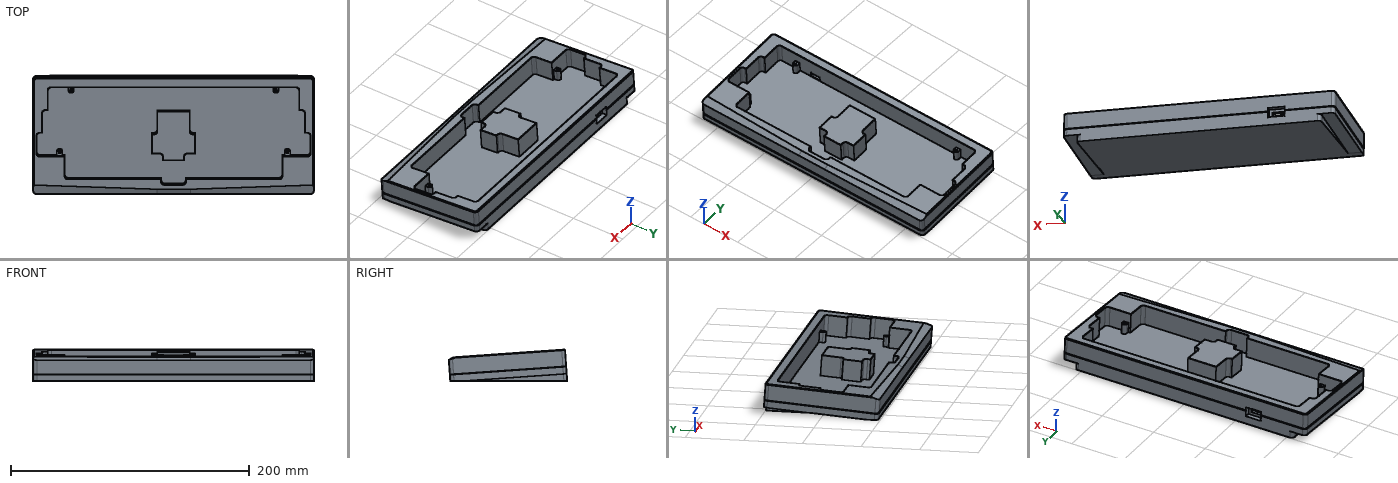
import cadquery as cq
import math

case_width = 235.5
case_depth = 98.0
rim_height = 19.8
tilt_angle = 4
corner_radius = 3.0
rim_chamfer_drop = 0.7
rim_chamfer_run = 1.0

body_bottom = -0.7
foot_width = 212
foot_allowance = 11.8

bevel_drop = 2.1
bevel_run_side = 7.8
bevel_run_middle = 4.2
bevel_middle_width = 27.8

seam_height = 5.2
seam_width = 0.5
seam_depth = 0.5

floor_height = 2.0
inside_radius = 2.8
edge_chamfer = 0.2
row_pitch = 19.0
pocket_back = 89.8
pocket_half_width = 105.3
row_stagger = 4.7
ledge_y = 31.8
front_row_half_width = 91.2
front_row_y = 12.7
tab_half_width = 10.4
tab_y = 8.0
island_back = 69.5
island_back_half_width = 13.7
island_half_width = 18.1
island_front_y = 34.2
island_nose_half_width = 9.0
island_nose_y = 28.5

post_radius = 2.4
post_height = 9.0
post_wall_gap = 2.8
post_hole_diameter = 1.7
post_hole_depth = 7.0
back_post_x = 85.8
front_post_x = 95.5

port_x = -67.1
port_width = 9.5
port_height = 3.3
port_bottom = 2.8
plug_margin = 2.5
plug_recess_depth = 4.7


def toward(start, end, distance):
    """Point at a distance from start on the way to end."""
    share = distance / math.dist(start, end)
    return (start[0] + share * (end[0] - start[0]), start[1] + share * (end[1] - start[1]))


def symmetric_prism(right_half, bottom, top, round_outer):
    """Prism on an outline mirrored about X = 0; right_half runs from front to back.

    Either the outer or the re-entrant corners are rounded.
    """
    left_half = [(-x, y) for x, y in reversed(right_half)]
    points = right_half + left_half
    outline = cq.Workplane("XY").workplane(offset=bottom)
    for index, corner in enumerate(points):
        before = points[index - 1]
        after = points[(index + 1) % len(points)]
        arriving = (corner[0] - before[0], corner[1] - before[1])
        leaving = (after[0] - corner[0], after[1] - corner[1])
        is_outer = arriving[0] * leaving[1] > arriving[1] * leaving[0]
        is_rounded = is_outer == round_outer
        arc_start = toward(corner, before, inside_radius) if is_rounded else corner
        outline = outline.moveTo(*arc_start) if index == 0 else outline.lineTo(*arc_start)
        if is_rounded:
            arc_end = toward(corner, after, inside_radius)
            center = (arc_start[0] + arc_end[0] - corner[0], arc_start[1] + arc_end[1] - corner[1])
            outline = outline.threePointArc(toward(center, corner, inside_radius), arc_end)
    return outline.close().extrude(top - bottom)


def rounded_slab(width, depth, bottom, top, radius):
    """Upright-cornered slab centered on the case."""
    slab = cq.Workplane("XY").box(width, depth, top - bottom).edges("|Z").fillet(radius)
    return slab.translate((0, case_depth / 2, (bottom + top) / 2))


def bevel_section(x, run):
    """Triangle removed from the front rim edge at one X position."""
    plane = cq.Plane(origin=(x, 0, rim_height), xDir=(0, 1, 0), normal=(1, 0, 0))
    return cq.Workplane(plane).polyline([(0, -bevel_drop), (run, 0), (0, 0)]).close()


def front_bevel():
    half_middle = bevel_middle_width / 2
    half_width = case_width / 2
    bevel = bevel_section(-half_middle, bevel_run_middle).extrude(bevel_middle_width)
    wires = [
        bevel_section(half_middle, bevel_run_middle).val(),
        bevel_section(half_width, bevel_run_side).val(),
    ]
    side = cq.Workplane(cq.Solid.makeLoft(wires, True))
    return bevel.union(side).union(side.mirror("YZ"))


def seam_groove():
    top = seam_height + seam_width
    inner_width = case_width - 2 * seam_depth
    inner_depth = case_depth - 2 * seam_depth
    outer = rounded_slab(2 * case_width, 2 * case_depth, seam_height, top, corner_radius)
    inner = rounded_slab(inner_width, inner_depth, seam_height, top, corner_radius - seam_depth)
    return outer.cut(inner)


def case_body():
    body = rounded_slab(case_width, case_depth, body_bottom, rim_height, corner_radius)
    body = body.faces(">Z").edges().chamfer(rim_chamfer_drop, rim_chamfer_run)
    foot = rounded_slab(foot_width, case_depth, -foot_allowance, body_bottom, corner_radius)
    return body.cut(front_bevel()).cut(seam_groove()).union(foot)


def key_pocket():
    first_step_y = pocket_back - row_pitch
    second_step_y = first_step_y - row_pitch
    second_row_half_width = pocket_half_width + row_stagger
    third_row_half_width = second_row_half_width + row_stagger
    right_half = [
        (tab_half_width, tab_y),
        (tab_half_width, front_row_y),
        (front_row_half_width, front_row_y),
        (front_row_half_width, ledge_y),
        (third_row_half_width, ledge_y),
        (third_row_half_width, second_step_y),
        (second_row_half_width, second_step_y),
        (second_row_half_width, first_step_y),
        (pocket_half_width, first_step_y),
        (pocket_half_width, pocket_back),
    ]
    return symmetric_prism(right_half, floor_height, rim_height, True)


def island():
    shoulder_y = island_back - row_pitch
    right_half = [
        (island_nose_half_width, island_nose_y),
        (island_nose_half_width, island_front_y),
        (island_half_width, island_front_y),
        (island_half_width, shoulder_y),
        (island_back_half_width, shoulder_y),
        (island_back_half_width, island_back),
    ]
    block = symmetric_prism(right_half, floor_height, rim_height, False)
    return block.faces(">Z").edges().chamfer(edge_chamfer)


def screw_post(x, wall_y, inward):
    """Round post joined to the wall at wall_y; inward is the Y direction into the pocket."""
    center_y = wall_y + inward * post_wall_gap
    post = cq.Workplane("XY").circle(post_radius).extrude(post_height)
    web = cq.Workplane("XY").rect(2 * post_radius, post_wall_gap).extrude(post_height)
    post = post.union(web.translate((0, -inward * post_wall_gap / 2, 0)))
    post = post.faces(">Z").workplane(origin=(0, 0, post_height)).hole(post_hole_diameter, post_hole_depth)
    return post.translate((x, center_y, floor_height))


def cable_port():
    """Opening through the back wall inside a wider recess for the plug body."""
    wall = case_depth - pocket_back
    port = cq.Workplane("XY").box(port_width, wall, port_height)
    recess_width = port_width + 2 * plug_margin
    recess_height = port_height + 2 * plug_margin
    recess = cq.Workplane("XY").box(recess_width, plug_recess_depth, recess_height)
    port = port.union(recess.translate((0, (wall - plug_recess_depth) / 2, 0)))
    return port.translate((port_x, pocket_back + wall / 2, port_bottom + port_height / 2))


def hollow_case():
    hollow = case_body().cut(key_pocket())
    pocket_rim = hollow.faces(">Z").val().innerWires()[0]
    return hollow.newObject(pocket_rim.Edges()).chamfer(edge_chamfer)


case = hollow_case().union(island())
for side in (-1, 1):
    case = case.union(screw_post(side * back_post_x, pocket_back, -1))
    case = case.union(screw_post(side * front_post_x, ledge_y, 1))
case = case.cut(cable_port())

tilted = case.rotate((0, 0, 0), (1, 0, 0), tilt_angle)
ground_thickness = 2 * foot_allowance
ground = cq.Workplane("XY").box(2 * case_width, 4 * case_depth, ground_thickness)
result = tilted.cut(ground.translate((0, 0, -ground_thickness / 2)))